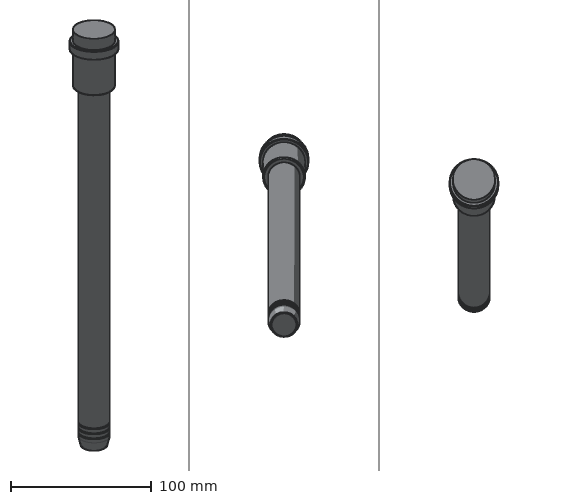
import cadquery as cq

length = 330.0

head_diameter = 30.0
collar_diameter = 35.0
shaft_diameter = 22.8
tip_diameter = 18.8

collar_top = length - 9.0
collar_height = 7.0
collar_chamfer = 0.5
sleeve_bottom = length - 45.5
sleeve_chamfer = 1.0

taper_height = 8.0
tip_chamfer = 0.5

ring_count = 3
ring_pitch = 4.0
ring_width = 1.0
ring_depth = 0.15
lowest_ring_center = taper_height + 3.0


def cylinder(diameter, bottom, top):
    """Solid cylinder on the Z axis."""
    return cq.Workplane("XY").workplane(offset=bottom).circle(diameter / 2).extrude(top - bottom)


def ring_groove(diameter, depth, bottom, width):
    """Cutter for a square groove around a cylinder of the given diameter."""
    outer = cylinder(diameter + 2 * depth, bottom, bottom + width)
    return outer.cut(cylinder(diameter - 2 * depth, bottom, bottom + width))


tip = (
    cq.Workplane("XY")
    .circle(tip_diameter / 2)
    .workplane(offset=taper_height)
    .circle(shaft_diameter / 2)
    .loft()
    .faces("<Z")
    .chamfer(tip_chamfer)
)

shaft = cylinder(shaft_diameter, taper_height, length)
head = cylinder(head_diameter, sleeve_bottom, length).faces("<Z").chamfer(sleeve_chamfer)
collar = cylinder(collar_diameter, collar_top - collar_height, collar_top)
collar = collar.faces("<Z or >Z").chamfer(collar_chamfer)
result = tip.union(shaft).union(head).union(collar)

for index in range(ring_count):
    ring_bottom = lowest_ring_center + index * ring_pitch - ring_width / 2
    result = result.cut(ring_groove(shaft_diameter, ring_depth, ring_bottom, ring_width))